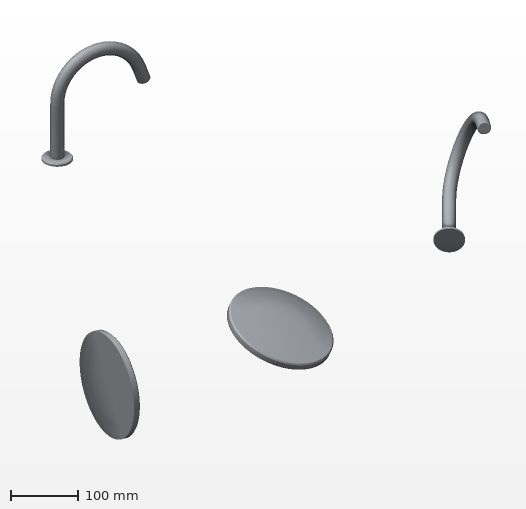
import cadquery as cq
import math

TUBE_RADIUS = 10.5
BEND_RADIUS = 71.8
BEND_START_HEIGHT = 94.9
BEND_ANGLE = 160.0
OUTLET_LENGTH = 23.0

AERATOR_LIP = 3.0
AERATOR_CHAMFER = 2.0
AERATOR_PLUG_RADIUS = 8.5
AERATOR_PLUG_DEPTH = 8.0

FLANGE_RADIUS = 23.5
FLANGE_THICKNESS = 4.8
FLANGE_CHAMFER = 1.5

HEAD_X = 250.0
HEAD_Z = -250.0
FACE_Y = -55.0
FACEPLATE_RADIUS = 83.27
FACEPLATE_THICKNESS = 11.0
FACEPLATE_CHAMFER = 2.0
DOME_RADIUS = FACEPLATE_RADIUS - FACEPLATE_CHAMFER
DOME_HEIGHT = 4.5

TURN = math.radians(BEND_ANGLE)
BEND_END_Y = BEND_RADIUS * (1 - math.cos(TURN))
BEND_END_Z = BEND_START_HEIGHT + BEND_RADIUS * math.sin(TURN)
FLOW_Y = math.sin(TURN)
FLOW_Z = math.cos(TURN)
OUTLET_Y = BEND_END_Y + OUTLET_LENGTH * FLOW_Y
OUTLET_Z = BEND_END_Z + OUTLET_LENGTH * FLOW_Z
OUTLET_PLANE = cq.Plane(origin=(0, OUTLET_Y, OUTLET_Z), xDir=(1, 0, 0), normal=(0, FLOW_Y, FLOW_Z))


def make_plug():
    """Cylinder reaching back into the tube from the outlet."""
    return cq.Workplane(OUTLET_PLANE).circle(AERATOR_PLUG_RADIUS).extrude(-AERATOR_PLUG_DEPTH)


def make_spout():
    """Solid tube swept along riser, bend and outlet, with a socket for the aerator."""
    bend_middle = (
        BEND_RADIUS * (1 - math.cos(TURN / 2)),
        BEND_START_HEIGHT + BEND_RADIUS * math.sin(TURN / 2),
    )
    path = (
        cq.Workplane("YZ")
        .lineTo(0, BEND_START_HEIGHT)
        .threePointArc(bend_middle, (BEND_END_Y, BEND_END_Z))
        .lineTo(OUTLET_Y, OUTLET_Z)
    )
    tube = cq.Workplane("XY").circle(TUBE_RADIUS).sweep(path)
    return tube.cut(make_plug())


def make_aerator():
    """Chamfered tip on the outlet, joined to the plug in the socket."""
    lip = cq.Workplane(OUTLET_PLANE).circle(TUBE_RADIUS).extrude(AERATOR_LIP)
    lip = lip.faces(cq.DirectionMinMaxSelector(OUTLET_PLANE.zDir)).chamfer(AERATOR_CHAMFER)
    return lip.union(make_plug())


def make_flange():
    """Disc with a chamfered top edge and a through hole for the spout."""
    disc = cq.Workplane("XY").circle(FLANGE_RADIUS).extrude(FLANGE_THICKNESS)
    disc = disc.faces(">Z").edges().chamfer(FLANGE_CHAMFER)
    return disc.cut(cq.Workplane("XY").circle(TUBE_RADIUS).extrude(FLANGE_THICKNESS))


def make_faceplate():
    """Flat disc with a chamfered back edge, its front face toward -Y."""
    front_plane = cq.Plane(origin=(HEAD_X, FACE_Y, HEAD_Z), xDir=(1, 0, 0), normal=(0, 1, 0))
    disc = cq.Workplane(front_plane).circle(FACEPLATE_RADIUS).extrude(FACEPLATE_THICKNESS)
    return disc.faces(">Y").chamfer(FACEPLATE_CHAMFER)


def make_cover():
    """Shallow spherical dome that fills the back of the faceplate inside its chamfer."""
    sphere_radius = (DOME_RADIUS**2 + DOME_HEIGHT**2) / (2 * DOME_HEIGHT)
    half_radius = DOME_RADIUS / 2
    half_height = DOME_HEIGHT - sphere_radius + math.sqrt(sphere_radius**2 - half_radius**2)
    profile_plane = cq.Plane(
        origin=(HEAD_X, FACE_Y + FACEPLATE_THICKNESS, HEAD_Z), xDir=(1, 0, 0), normal=(0, 0, 1)
    )
    return (
        cq.Workplane(profile_plane)
        .lineTo(DOME_RADIUS, 0)
        .threePointArc((half_radius, half_height), (0, DOME_HEIGHT))
        .close()
        .revolve(360, (0, 0, 0), (0, 1, 0))
    )


spout = make_spout()
aerator = make_aerator()
flange = make_flange()
faceplate = make_faceplate()
cover = make_cover()

result = cq.Compound.makeCompound(
    [spout.val(), aerator.val(), flange.val(), faceplate.val(), cover.val()]
)